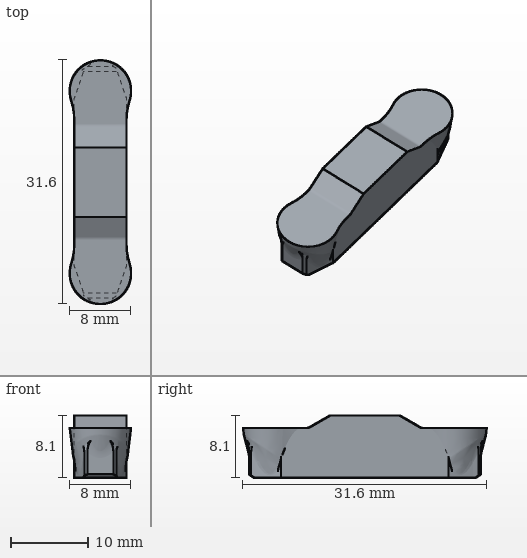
import cadquery as cq
import math

length = 31.6
half_length = length / 2
head_width = 8.0
head_radius = head_width / 2
head_center = half_length - head_radius
body_width = 6.8
body_half_width = body_width / 2
height = 8.1
ledge_height = 6.48

crown_half_length = 4.52
ramp_angle = math.radians(30)
ramp_blend_radius = 0.82

neck_radius = 8.2
primary_draft = 7.0
seam_angle = 32.5
seam_tip_height = 5.55
lower_radius = 2.97
lower_tip_inset = 1.58

nose_corners = [(1.67, 0.8), (2.1, 1.07), (2.27, 1.75), (3.22, 4.52), (body_half_width, 4.95)]
bottom_chamfer_height = 0.47
bottom_chamfer_length = 0.65

tip_hollow = (0, 15.0, 3.47)
tip_hollow_radius = 3.47
side_hollow = (2.72, 12.75, 1.07)
side_hollow_radius = 0.95
seam_spot = (0, 13.9, 4.42)
seam_radius = 0.95

cutter_size = 3 * head_radius


def make_body():
    """Faceted bar with a raised crown and chamfered lower nose edges."""
    right = [(x, half_length - inset) for x, inset in reversed(nose_corners)]
    left = [(-x, y) for x, y in reversed(right)]
    back_half = right + left
    front_half = [(-x, -y) for x, y in back_half]
    bar = cq.Workplane("XY").polyline(back_half + front_half).close().extrude(height)

    nose_y = half_length - nose_corners[0][1]
    ramp_foot = crown_half_length + (height - ledge_height) / math.tan(ramp_angle)
    blend_length = ramp_blend_radius * math.tan(ramp_angle / 2)
    blend_start = (ramp_foot + blend_length, ledge_height)
    blend_end = (
        ramp_foot - blend_length * math.cos(ramp_angle),
        ledge_height + blend_length * math.sin(ramp_angle),
    )
    profile = (
        cq.Workplane("YZ")
        .moveTo(0, 0)
        .lineTo(nose_y - bottom_chamfer_length, 0)
        .lineTo(nose_y, bottom_chamfer_height)
        .lineTo(nose_y, ledge_height)
        .lineTo(*blend_start)
        .radiusArc(blend_end, ramp_blend_radius)
        .lineTo(crown_half_length, height)
        .lineTo(0, height)
        .close()
        .extrude(body_half_width, both=True)
    )
    return bar.intersect(profile.union(profile.mirror("XZ")))


def make_upper_head():
    """Drafted round head and its concave neck, before the lower relief."""
    turn = math.acos((body_half_width + neck_radius) / (head_radius + neck_radius))
    join_x = head_radius * math.cos(turn)
    join_y = head_center - head_radius * math.sin(turn)
    neck_end = head_center - (head_radius + neck_radius) * math.sin(turn)
    return (
        cq.Workplane("XY", origin=(0, 0, ledge_height))
        .moveTo(-body_half_width, 0)
        .lineTo(-body_half_width, neck_end)
        .radiusArc((-join_x, join_y), -neck_radius)
        .threePointArc((0, half_length), (join_x, join_y))
        .radiusArc((body_half_width, neck_end), -neck_radius)
        .lineTo(body_half_width, 0)
        .close()
        .extrude(-ledge_height, taper=primary_draft)
    )


def make_head():
    """Round head above a sloping seam and a steeper relief below it."""
    draft = math.tan(math.radians(primary_draft))
    seam_tip_y = half_length - (ledge_height - seam_tip_height) * draft
    below_seam = (
        cq.Workplane("XY")
        .box(cutter_size, 2 * cutter_size, cutter_size, centered=(True, True, False))
        .translate((0, 0, -cutter_size))
        .rotate((0, 0, 0), (1, 0, 0), seam_angle)
        .translate((0, seam_tip_y, seam_tip_height))
    )
    upper = make_upper_head().cut(below_seam)

    slope = math.tan(math.radians(seam_angle))
    seam_base = seam_tip_height - slope * (seam_tip_y - head_center)
    base_radius = head_radius - (ledge_height - seam_base) * draft
    front_reach = base_radius / (1 - slope * draft)
    back_reach = base_radius / (1 + slope * draft)
    offset = (front_reach - back_reach) / 2
    half_span = (front_reach + back_reach) / 2
    half_width = math.sqrt(front_reach * back_reach)
    seam = cq.Wire.makeEllipse(
        half_span / math.cos(math.radians(seam_angle)),
        half_width,
        cq.Vector(0, head_center + offset, seam_base + slope * offset),
        cq.Vector(0, -slope, 1),
        cq.Vector(0, -1, -slope),
    )
    lower_center = half_length - lower_tip_inset - lower_radius
    foot = cq.Wire.makeEllipse(
        lower_radius,
        lower_radius,
        cq.Vector(0, lower_center, 0),
        cq.Vector(0, 0, 1),
        cq.Vector(0, -1, 0),
    )
    lower = cq.Workplane(cq.Solid.makeLoft([seam, foot], True))
    return upper.union(lower)


def blend_edges(part, spot, radius):
    """Fillet the edge nearest a spot, and its mirror images at both ends and sides."""
    x, y, z = spot
    for end in (1, -1):
        for side in ((1, -1) if x else (1,)):
            part = part.edges(cq.selectors.NearestToPointSelector((side * x, end * y, z))).fillet(radius)
    return part


head = make_head()
result = make_body().union(head).union(head.mirror("XZ"))
blends = [
    (tip_hollow, tip_hollow_radius),
    (side_hollow, side_hollow_radius),
    (seam_spot, seam_radius),
]
for spot, radius in blends:
    result = blend_edges(result, spot, radius)